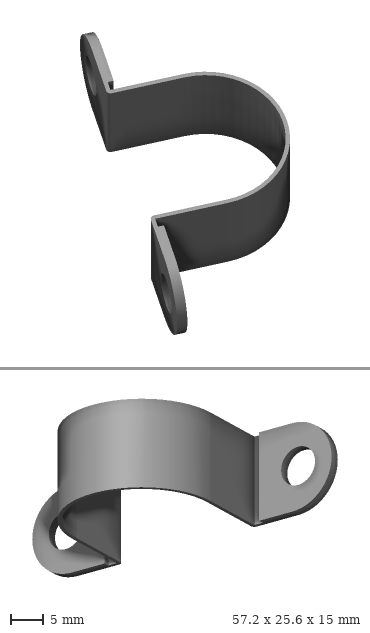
import cadquery as cq

length = 57.2
depth = 25.6
width = 15.0

strip_thickness = 0.7
outer_radius = 13.15
inner_radius = outer_radius - strip_thickness
arc_center_y = depth - outer_radius
bend_radius = strip_thickness

ear_thickness = 1.65
ear_inner_x = 14.75
ear_end_radius = width / 2
ear_end_center_x = length / 2 - ear_end_radius
hole_diameter = 6.45
hole_x = 22.2


def make_strap():
    """U-shaped strip with short feet reaching the ears, centred on Z = 0."""
    return (
        cq.Workplane("XY")
        .moveTo(-ear_inner_x, 0)
        .lineTo(-inner_radius - bend_radius, 0)
        .radiusArc((-inner_radius, bend_radius), -bend_radius)
        .lineTo(-inner_radius, arc_center_y)
        .threePointArc((0, arc_center_y + inner_radius), (inner_radius, arc_center_y))
        .lineTo(inner_radius, bend_radius)
        .radiusArc((inner_radius + bend_radius, 0), -bend_radius)
        .lineTo(ear_inner_x, 0)
        .lineTo(ear_inner_x, strip_thickness)
        .lineTo(outer_radius, strip_thickness)
        .lineTo(outer_radius, arc_center_y)
        .threePointArc((0, depth), (-outer_radius, arc_center_y))
        .lineTo(-outer_radius, strip_thickness)
        .lineTo(-ear_inner_x, strip_thickness)
        .close()
        .extrude(width / 2, both=True)
    )


def make_ear(side):
    """Thick round-ended ear with a through hole; side is -1 (left) or 1 (right)."""
    half_width = width / 2
    plate = (
        cq.Workplane("XZ")
        .moveTo(side * ear_inner_x, -half_width)
        .lineTo(side * ear_end_center_x, -half_width)
        .threePointArc((side * length / 2, 0), (side * ear_end_center_x, half_width))
        .lineTo(side * ear_inner_x, half_width)
        .close()
        .extrude(-ear_thickness)
    )
    hole = (
        cq.Workplane("XZ")
        .center(side * hole_x, 0)
        .circle(hole_diameter / 2)
        .extrude(-ear_thickness)
    )
    return plate.cut(hole)


result = make_strap()
for side in (-1, 1):
    result = result.union(make_ear(side))